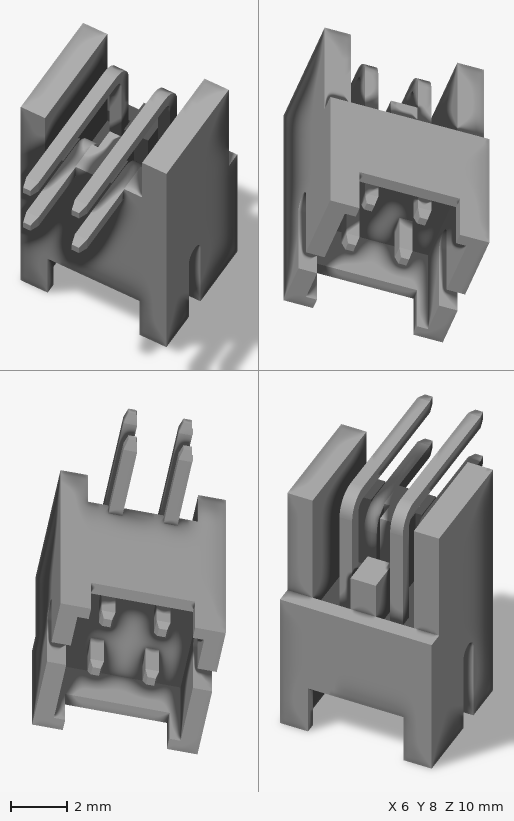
import cadquery as cq


housing_width = 6.0
housing_depth = 5.0
housing_height = 10.0

step_height = 5.6
upper_depth = 4.4

recess_width = 4.0
floor_height = 5.0
front_wall_height = 8.0
front_wall_thickness = 1.17

rib_width = 1.0
front_rib_end = 2.0
rear_rib_start = 3.0
rear_rib_height = 7.0

cavity_height = 4.0
cavity_side_wall = 0.7
cavity_end_wall = 0.42
opening_width = 3.78
opening_height = 1.95
side_slot_width = 0.8
side_slot_height = 3.5
side_slot_y = 2.0

pin_size = 0.5
pin_pitch = 2.0
pin_columns = (-pin_pitch / 2, pin_pitch / 2)
front_row_y = 1.5
rear_row_y = front_row_y + pin_pitch
upper_tail_z = 9.7
lower_tail_z = upper_tail_z - pin_pitch
pin_bend_inner_radius = 0.4
pin_bottom_z = 2.0
pin_front_y = -3.0
pin_tip_length = 0.4
pin_tip_size = 0.3
tail_slot_clearance = 0.05


def box(width, y_start, y_end, z_start, z_end):
    """Box centred on X = 0 between the given Y and Z limits."""
    depth = y_end - y_start
    height = z_end - z_start
    block = cq.Workplane("XY").box(width, depth, height, centered=(True, False, False))
    return block.translate((0, y_start, z_start))


def make_shell():
    """Stepped block with the recess between the wings and its two ribs."""
    shell = box(housing_width, 0, housing_depth, 0, step_height)
    shell = shell.union(box(housing_width, 0, upper_depth, 0, housing_height))
    shell = shell.cut(box(recess_width, 0, upper_depth, front_wall_height, housing_height))
    shell = shell.cut(box(recess_width, front_wall_thickness, upper_depth, floor_height, front_wall_height))
    shell = shell.union(box(rib_width, front_wall_thickness, front_rib_end, floor_height, front_wall_height))
    return shell.union(box(rib_width, rear_rib_start, upper_depth, floor_height, rear_rib_height))


def cut_mating_end(shell):
    """Cut the cavity, the openings in its end walls and the round-topped side slots."""
    cavity_width = housing_width - 2 * cavity_side_wall
    cavity_end = housing_depth - cavity_end_wall
    shell = shell.cut(box(cavity_width, cavity_end_wall, cavity_end, 0, cavity_height))
    shell = shell.cut(box(opening_width, 0, housing_depth, 0, opening_height))
    half_slot = side_slot_width / 2
    arc_start_z = side_slot_height - half_slot
    side_slot = (
        cq.Workplane("YZ")
        .moveTo(side_slot_y - half_slot, 0)
        .lineTo(side_slot_y - half_slot, arc_start_z)
        .threePointArc((side_slot_y, side_slot_height), (side_slot_y + half_slot, arc_start_z))
        .lineTo(side_slot_y + half_slot, 0)
        .close()
        .extrude(housing_width / 2, both=True)
    )
    return shell.cut(side_slot)


def cut_tail_slots(shell):
    """Open-topped slots in the front wall, with a gap below the lower tails."""
    slot_bottom = lower_tail_z - pin_size / 2 - tail_slot_clearance
    slot = box(pin_size, 0, front_wall_thickness, slot_bottom, front_wall_height)
    for x in pin_columns:
        shell = shell.cut(slot.translate((x, 0, 0)))
    return shell


def make_pin_tip():
    """Tapered tip starting at the origin and pointing towards +Z."""
    return (
        cq.Workplane("XY")
        .rect(pin_size, pin_size)
        .workplane(offset=pin_tip_length)
        .rect(pin_tip_size, pin_tip_size)
        .loft(combine=True)
    )


def make_pin(row_y, tail_z):
    """Square pin bent from the vertical contact into the horizontal tail."""
    half_pin = pin_size / 2
    tail_end = pin_front_y + pin_tip_length
    contact_end = pin_bottom_z + pin_tip_length
    tail = box(pin_size, tail_end, row_y + half_pin, tail_z - half_pin, tail_z + half_pin)
    contact = box(pin_size, row_y - half_pin, row_y + half_pin, contact_end, tail_z - half_pin)
    pin = tail.union(contact)
    outer_corner = cq.selectors.NearestToPointSelector((0, row_y + half_pin, tail_z + half_pin))
    inner_corner = cq.selectors.NearestToPointSelector((0, row_y - half_pin, tail_z - half_pin))
    pin = pin.edges("|X").edges(outer_corner).fillet(pin_bend_inner_radius + pin_size)
    pin = pin.edges("|X").edges(inner_corner).fillet(pin_bend_inner_radius)
    tail_tip = make_pin_tip().rotate((0, 0, 0), (1, 0, 0), 90).translate((0, tail_end, tail_z))
    contact_tip = make_pin_tip().rotate((0, 0, 0), (1, 0, 0), 180).translate((0, row_y, contact_end))
    return pin.union(tail_tip).union(contact_tip)


result = cut_tail_slots(cut_mating_end(make_shell()))
for row_y, tail_z in ((front_row_y, lower_tail_z), (rear_row_y, upper_tail_z)):
    pin = make_pin(row_y, tail_z)
    for column_x in pin_columns:
        result = result.union(pin.translate((column_x, 0, 0)))